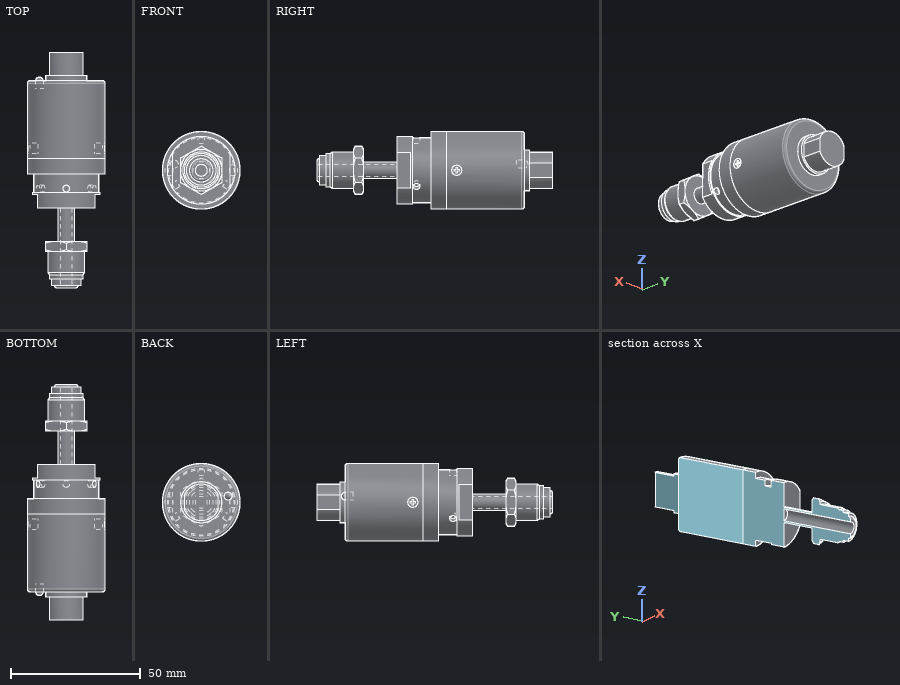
import cadquery as cq
import math


cover_diameter = 30.0
cover_length = 30.0
cover_rounding = 1.1
cover_radius = cover_diameter / 2

collar_diameter = 15.8
collar_length = 2.0
plug_diameter = 14.1
plug_length = 8.8
plug_across_flats = 13.0

lamp_diameter = 3.0
lamp_seat_depth = 3.0
lamp_nose_sink = 0.15
lamp_pitch_radius = 10.6
lamp_angle = 167.0

screw_diameter = 3.9
screw_length = 4.0
screw_y = 3.9
screw_head_sink = 0.15
cross_length = 2.2
cross_width = 0.5
cross_depth = 0.8

ring_length = 6.0
neck_diameter = 25.1
neck_length = 7.1
flange_diameter = 26.1
flange_length = 6.0
flange_disc_length = 0.8
flange_across_flats = 22.2

radial_hole_diameter = 2.6
radial_hole_depth = 2.3
radial_hole_count = 3
radial_hole_start_angle = 90.0
radial_hole_gap = 0.2

stem_diameter = 6.4
stem_length = 12.8
nut_across_flats = 16.1
nut_length = 4.0
nut_chamfer_angle = 30.0
thread_diameter = 14.2
thread_length = 8.9
thread_chamfer_length = 0.9
thread_chamfer_depth = 0.6
nose_diameter = 13.0
nose_length = 1.7
gland_diameter = 11.4
gland_length = 2.5
bead_diameter = 9.0
bead_length = 0.91
bead_rounding = 0.9
bore_diameter = 4.6

cover_end_y = cover_length
collar_end_y = cover_end_y + collar_length
ring_front_y = -ring_length
neck_front_y = ring_front_y - neck_length
flange_front_y = neck_front_y - flange_length
nut_back_y = flange_front_y - stem_length
nut_front_y = nut_back_y - nut_length
thread_front_y = nut_front_y - thread_length
nose_front_y = thread_front_y - nose_length
gland_front_y = nose_front_y - gland_length
tip_y = gland_front_y - bead_length


def rod(diameter, front_y, length):
    """Cylinder on the Y axis, running toward +Y from front_y."""
    start = cq.Vector(0, front_y, 0)
    return cq.Workplane(cq.Solid.makeCylinder(diameter / 2, length, start, cq.Vector(0, 1, 0)))


def flatted_rod(diameter, across_flats, front_y, length):
    """Rod on the Y axis with two flats facing -X and +X."""
    slab = cq.Workplane().box(across_flats, length, diameter).translate((0, front_y + length / 2, 0))
    return rod(diameter, front_y, length).intersect(slab)


def make_screw(side):
    """Cross-head screw on the -X (side = -1) or +X (side = 1) face of the cover."""
    head_x = cover_radius - screw_head_sink
    shank = cq.Workplane("YZ").circle(screw_diameter / 2).extrude(-screw_length)
    slot = cq.Workplane("YZ").rect(cross_length, cross_width).extrude(-cross_depth)
    cross = slot.union(slot.rotate((0, 0, 0), (1, 0, 0), 90))
    screw = shank.cut(cross).translate((head_x, screw_y, 0))
    return screw if side > 0 else screw.mirror("YZ")


def make_screw_hole(side):
    """Blind hole that holds the screw and opens through the cover surface."""
    hole_floor = cover_radius - screw_head_sink - screw_length
    hole = (
        cq.Workplane("YZ", origin=(hole_floor, screw_y, 0))
        .circle(screw_diameter / 2)
        .extrude(cover_radius - hole_floor)
    )
    return hole if side > 0 else hole.mirror("YZ")


def make_lamp():
    """Lamp with a hemispherical nose standing out of the cover end."""
    radius = lamp_diameter / 2
    shank_length = lamp_seat_depth - lamp_nose_sink
    shank = rod(lamp_diameter, cover_end_y - lamp_seat_depth, shank_length)
    nose = cq.Workplane().sphere(radius).translate((0, cover_end_y - lamp_nose_sink, 0))
    angle = math.radians(lamp_angle)
    offset = (lamp_pitch_radius * math.cos(angle), 0, lamp_pitch_radius * math.sin(angle))
    return shank.union(nose).translate(offset)


def make_cover(lamp):
    """Cover with a rounded end, the lamp seat and the screw holes."""
    cover = rod(cover_diameter, 0, cover_length).faces(">Y").edges().fillet(cover_rounding)
    cover = cover.cut(lamp)
    for side in (-1, 1):
        cover = cover.cut(make_screw_hole(side))
    return cover


def make_connector():
    """Round collar carrying a plug with two flats."""
    collar = rod(collar_diameter, cover_end_y, collar_length)
    plug = flatted_rod(plug_diameter, plug_across_flats, collar_end_y, plug_length)
    return collar.union(plug)


def make_nut():
    """Hexagon with corners on +Z and -Z, its corners chamfered at both ends."""
    corner_radius = nut_across_flats / math.sqrt(3)
    flat_radius = nut_across_flats / 2
    bevel = (corner_radius - flat_radius) * math.tan(math.radians(nut_chamfer_angle))
    hexagon = (
        cq.Workplane("XZ", origin=(0, nut_back_y, 0))
        .polygon(6, 2 * corner_radius)
        .extrude(nut_length)
        .rotate((0, 0, 0), (0, 1, 0), 30)
    )
    envelope = (
        rod(2 * corner_radius, nut_front_y, nut_length)
        .faces("<Y or >Y")
        .chamfer(bevel, corner_radius - flat_radius)
    )
    return hexagon.intersect(envelope)


def make_bead():
    """Rounded sealing bead at the tip."""
    return rod(bead_diameter, tip_y, bead_length).faces("<Y").edges().fillet(bead_rounding)


def make_radial_holes():
    """Cutters for the blind holes spaced evenly around the neck."""
    hole_y = neck_front_y + radial_hole_gap + radial_hole_diameter / 2
    floor_radius = neck_diameter / 2 - radial_hole_depth
    cutter = (
        cq.Workplane("YZ", origin=(floor_radius, hole_y, 0))
        .circle(radial_hole_diameter / 2)
        .extrude(2 * radial_hole_depth)
    )
    holes = cq.Workplane()
    for index in range(radial_hole_count):
        angle = radial_hole_start_angle + index * 360 / radial_hole_count
        holes.add(cutter.rotate((0, 0, 0), (0, 1, 0), -angle))
    return holes.vals()


def make_base():
    """Ring, neck, wrench flange, stem and fitting in one piece."""
    ring = rod(cover_diameter, ring_front_y, ring_length)
    neck = rod(neck_diameter, neck_front_y, neck_length)
    for cutter in make_radial_holes():
        neck = neck.cut(cq.Workplane(cutter))

    disc = rod(flange_diameter, neck_front_y - flange_disc_length, flange_disc_length)
    flange = flatted_rod(flange_diameter, flange_across_flats, flange_front_y, flange_length)
    stem = rod(stem_diameter, nut_back_y, stem_length)
    thread = (
        rod(thread_diameter, thread_front_y, thread_length)
        .faces("<Y")
        .chamfer(thread_chamfer_length, thread_chamfer_depth)
    )
    nose = rod(nose_diameter, nose_front_y, nose_length)
    gland = rod(gland_diameter, gland_front_y, gland_length)

    base = ring
    for section in (neck, disc, flange, stem, make_nut(), thread, nose, gland, make_bead()):
        base = base.union(section)
    bore = rod(bore_diameter, tip_y, flange_front_y - tip_y)
    return base.cut(bore)


lamp = make_lamp()
cover = make_cover(lamp)
connector = make_connector()
base = make_base()
screws = [make_screw(side) for side in (-1, 1)]

result = cq.Compound.makeCompound(
    [cover.val(), base.val(), connector.val(), lamp.val(), *[screw.val() for screw in screws]]
)